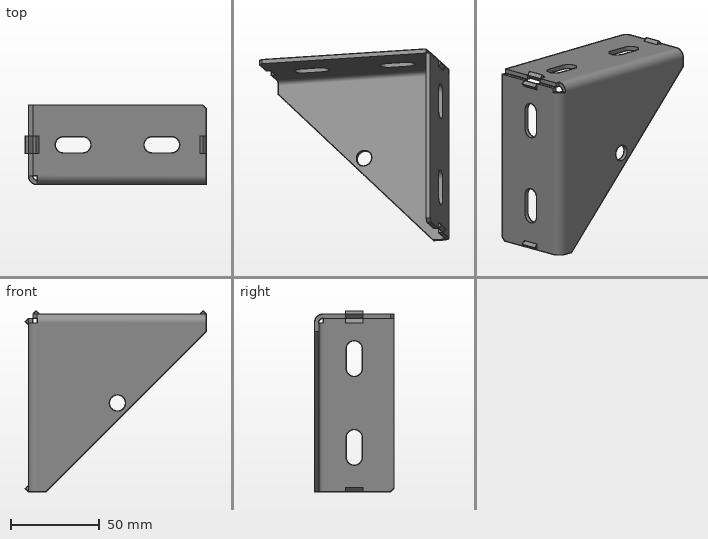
import cadquery as cq
import math

overall = 102.0
depth = 45.0
sheet = 2.5
bend_radius = 2 * sheet
tooth_height = sheet / math.sqrt(2)
leg = overall - tooth_height
corner_gap = 0.05
flange_start = sheet + corner_gap

web_end_width = 10.0
end_chamfer = 2.0
tooth_width = 10.0
middle_y = depth / 2

slot_length = 20.0
slot_width = 9.0
slot_places = (25.2, 75.2)
hole_diameter = 9.0
hole_place = 50.2


def make_web():
    """Triangular web with both long corners cut square and a round hole."""
    web = (
        cq.Workplane("XZ")
        .polyline([
            (bend_radius, -bend_radius),
            (leg, -bend_radius),
            (leg, -web_end_width),
            (web_end_width, -leg),
            (bend_radius, -leg),
        ])
        .close()
        .extrude(-sheet)
    )
    hole = (
        cq.Workplane("XZ")
        .center(hole_place, -hole_place)
        .circle(hole_diameter / 2)
        .extrude(-sheet)
    )
    return web.cut(hole)


def make_bend():
    """Quarter-round bend joining the web to the top flange."""
    inner_radius = bend_radius - sheet
    diagonal = math.sqrt(0.5)
    outer_middle = (bend_radius * (1 - diagonal), -bend_radius * (1 - diagonal))
    inner_middle = (bend_radius - inner_radius * diagonal, -bend_radius + inner_radius * diagonal)
    return (
        cq.Workplane("YZ", origin=(bend_radius, 0, 0))
        .moveTo(0, -bend_radius)
        .threePointArc(outer_middle, (bend_radius, 0))
        .lineTo(bend_radius, -sheet)
        .threePointArc(inner_middle, (sheet, -bend_radius))
        .close()
        .extrude(leg - bend_radius)
    )


def across_tooth(points):
    """Extrude an XZ outline over the width of a tooth."""
    return (
        cq.Workplane("XZ", origin=(0, middle_y + tooth_width / 2, 0))
        .polyline(points)
        .close()
        .extrude(tooth_width)
    )


def turn_up_tooth(flange, end_x, inward):
    """Turn the flange end at end_x up by 45 degrees; inward is the X sign into the flange."""
    under_cut = across_tooth([
        (end_x, 0),
        (end_x + inward * sheet, -sheet),
        (end_x, -sheet),
    ])
    tooth = across_tooth([
        (end_x, 0),
        (end_x + inward * tooth_height, tooth_height),
        (end_x + inward * 2 * tooth_height, 0),
        (end_x + inward * sheet, -sheet),
    ])
    return flange.cut(under_cut).union(tooth)


def make_top_flange():
    """Top flange with its bend, two slots and a turned-up tooth at each end."""
    flange = (
        cq.Workplane("XY")
        .polyline([
            (flange_start, bend_radius),
            (leg, bend_radius),
            (leg, depth - end_chamfer),
            (leg - end_chamfer, depth),
            (flange_start, depth),
        ])
        .close()
        .extrude(-sheet)
    )
    slots = (
        cq.Workplane("XY")
        .pushPoints([(x, middle_y) for x in slot_places])
        .slot2D(slot_length, slot_width)
        .extrude(-sheet)
    )
    flange = flange.cut(slots)
    flange = turn_up_tooth(flange, flange_start, 1)
    flange = turn_up_tooth(flange, leg, -1)
    return flange.union(make_bend())


top_flange = make_top_flange()
side_flange = top_flange.mirror("YZ").rotate((0, 0, 0), (0, 1, 0), -90)

result = make_web().union(top_flange).union(side_flange)